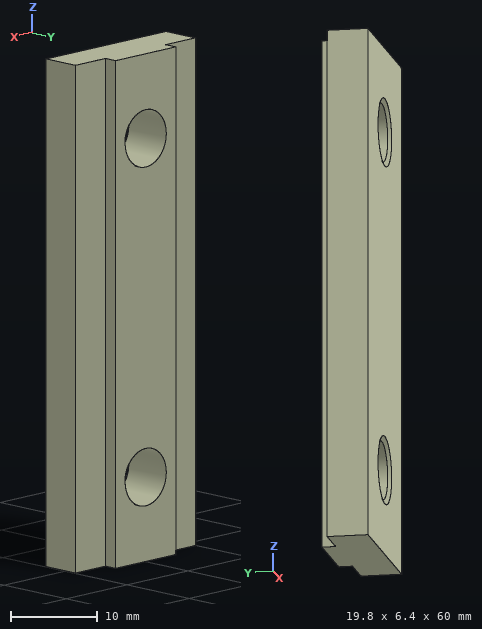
import cadquery as cq

height = 60.0
width = 19.8
depth = 6.4

rib_width = width / 2
rib_depth = 1.6
plate_depth = depth - rib_depth

hole_spacing = 40.0
hole_diameter = 6.8
countersink_diameter = 8.0
countersink_angle = 120.0


def make_body():
    """Plate with a narrower rib centred on its back face."""
    front_y = -depth / 2
    plate = cq.Workplane("XY").box(width, plate_depth, height).translate((0, front_y + plate_depth / 2, 0))
    rib = cq.Workplane("XY").box(rib_width, rib_depth, height).translate((0, depth / 2 - rib_depth / 2, 0))
    return plate.union(rib)


def add_holes(body):
    """Countersunk through holes on the vertical centre line."""
    return (
        body.faces("<Y")
        .workplane(origin=(0, 0, 0))
        .pushPoints([(0, -hole_spacing / 2), (0, hole_spacing / 2)])
        .cskHole(hole_diameter, countersink_diameter, countersink_angle)
    )


result = add_holes(make_body())